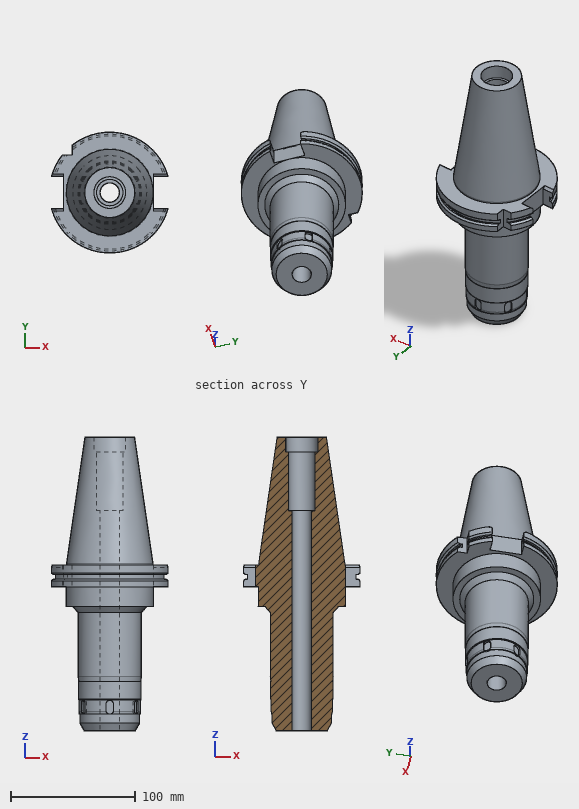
import cadquery as cq

overall_length = 236.8

taper_diameter = 69.8
taper_radius = taper_diameter / 2
taper_length = 101.8
taper_slope = 7 / 48
taper_tip_radius = taper_radius - taper_slope * taper_length
gauge_z = overall_length - taper_length

flange_radius = 48.8
flange_top_z = 133.8
flange_bottom_z = 116.0
groove_floor_radius = 45.7
groove_bevel_radius = 47.0
groove_top_z = 127.1
groove_floor_top_z = 126.0
groove_floor_bottom_z = 122.5
groove_bottom_z = 121.0

keyway_width = 25.8
keyway_half_width = keyway_width / 2
keyway_chamfer = 2.1
left_keyway_floor = 37.5
right_keyway_floor = 35.3

notch_offset = 30.3

collar_radius = 35.3
collar_bottom_z = 100.1
neck_top_radius = 29.8
body_radius = 25.5
neck_bottom_z = 95.5
body_bottom_z = 44.0

nut_top_z = 39.8
nut_radius = 25.3
nut_gap_radius = 25.0
nut_bottom_z = 25.5
band_radius = 24.9
band_top_z = 24.9
band_chamfer_z = 15.6
band_bottom_z = 13.5
band_chamfer_radius = 24.6
nose_radius = 24.1
nose_chamfer_z = 6.5
nose_tip_radius = 20.5

slot_count = 6
slot_width = 6.2
slot_height = 11.1
slot_bottom_z = 13.5
slot_floor_radius = 23.2

counterbore_radius = 12.8
counterbore_depth = 11.8
thread_radius = 10.7
thread_depth = 59.2
bore_diameter = 15.5


def turned_body():
    outline = [
        (0, 0),
        (nose_tip_radius, 0),
        (nose_radius, nose_chamfer_z),
        (nose_radius, band_bottom_z),
        (band_chamfer_radius, band_bottom_z),
        (band_radius, band_chamfer_z),
        (band_radius, band_top_z),
        (nut_radius, nut_bottom_z),
        (nut_radius, nut_top_z),
        (nut_gap_radius, nut_top_z),
        (body_radius, body_bottom_z),
        (body_radius, neck_bottom_z),
        (neck_top_radius, collar_bottom_z),
        (collar_radius, collar_bottom_z),
        (collar_radius, flange_bottom_z),
        (flange_radius, flange_bottom_z),
        (flange_radius, groove_bottom_z),
        (groove_bevel_radius, groove_floor_bottom_z),
        (groove_floor_radius, groove_floor_bottom_z),
        (groove_floor_radius, groove_floor_top_z),
        (groove_bevel_radius, groove_floor_top_z),
        (flange_radius, groove_top_z),
        (flange_radius, flange_top_z),
        (taper_radius, flange_top_z),
        (taper_radius, gauge_z),
        (taper_tip_radius, overall_length),
        (0, overall_length),
    ]
    return cq.Workplane("XZ").polyline(outline).close().revolve(360, (0, 0), (0, 1))


def keyway(floor_distance, side):
    """Slot through the flange with chamfered top edges; side is -1 for -X and +1 for +X."""
    mouth_half_width = keyway_half_width + keyway_chamfer
    profile = [
        (-keyway_half_width, flange_bottom_z),
        (keyway_half_width, flange_bottom_z),
        (keyway_half_width, flange_top_z - keyway_chamfer),
        (mouth_half_width, flange_top_z),
        (-mouth_half_width, flange_top_z),
        (-keyway_half_width, flange_top_z - keyway_chamfer),
    ]
    return (
        cq.Workplane("YZ", origin=(side * floor_distance, 0, 0))
        .polyline(profile)
        .close()
        .extrude(side * flange_radius)
    )


def orientation_notch():
    return (
        cq.Workplane("XY", origin=(-notch_offset, notch_offset, flange_bottom_z))
        .rect(-flange_radius, flange_radius, centered=False)
        .extrude(flange_top_z - flange_bottom_z)
    )


def spanner_slot(angle):
    return (
        cq.Workplane("XZ", origin=(0, -slot_floor_radius, slot_bottom_z + slot_height / 2))
        .slot2D(slot_height, slot_width, 90)
        .extrude(body_radius - slot_floor_radius)
        .rotate((0, 0, 0), (0, 0, 1), angle)
    )


def bore():
    through = cq.Workplane("XY").circle(bore_diameter / 2).extrude(overall_length)
    top = cq.Workplane("XY", origin=(0, 0, overall_length))
    thread = top.circle(thread_radius).extrude(-thread_depth)
    counterbore = top.circle(counterbore_radius).extrude(-counterbore_depth)
    return through.union(thread).union(counterbore)


result = turned_body()
result = result.cut(keyway(left_keyway_floor, -1))
result = result.cut(keyway(right_keyway_floor, 1))
result = result.cut(orientation_notch())
for index in range(slot_count):
    result = result.cut(spanner_slot(index * 360 / slot_count))
result = result.cut(bore())